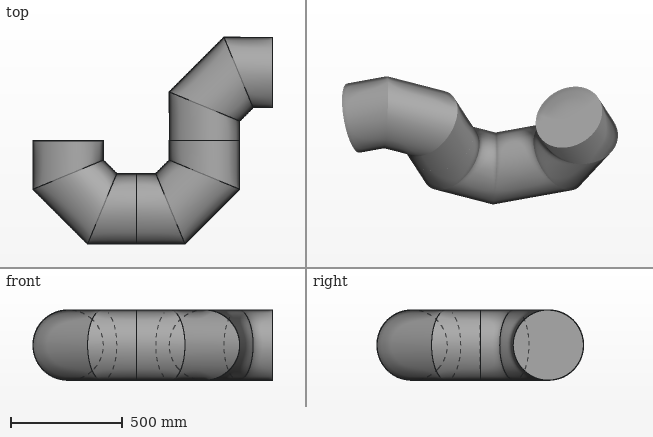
import cadquery as cq
import math

PIPE_DIAMETER = 314.96
ELBOW_REACH = 304.8
LEG_LENGTH = ELBOW_REACH / 2

PIPE_RADIUS = PIPE_DIAMETER / 2
MIDDLE_LENGTH = math.sqrt(2) * (ELBOW_REACH - LEG_LENGTH)


def mitred_elbow():
    """90 degree elbow of three mitred pieces: starts at the origin along -Y, leaves along +X."""
    path = (
        cq.Workplane("XY")
        .lineTo(0, -LEG_LENGTH)
        .polarLine(MIDDLE_LENGTH, -45)
        .lineTo(ELBOW_REACH, -ELBOW_REACH)
    )
    return cq.Workplane("XZ").circle(PIPE_RADIUS).sweep(path, transition="right")


def turned_elbow(start_x, start_y, turn):
    """Elbow turned about Z by `turn` degrees, its first end face centred on the given point."""
    return (
        mitred_elbow()
        .rotate((0, 0, 0), (0, 0, 1), turn)
        .translate((start_x, start_y, 0))
    )


ELBOW_PLACES = [
    (0, 0, 0),
    (1, -1, 90),
    (3, 1, -90),
]

elbows = []
for steps_x, steps_y, turn in ELBOW_PLACES:
    elbows.append(turned_elbow(steps_x * ELBOW_REACH, steps_y * ELBOW_REACH, turn))

result = cq.Compound.makeCompound([elbow.val() for elbow in elbows])